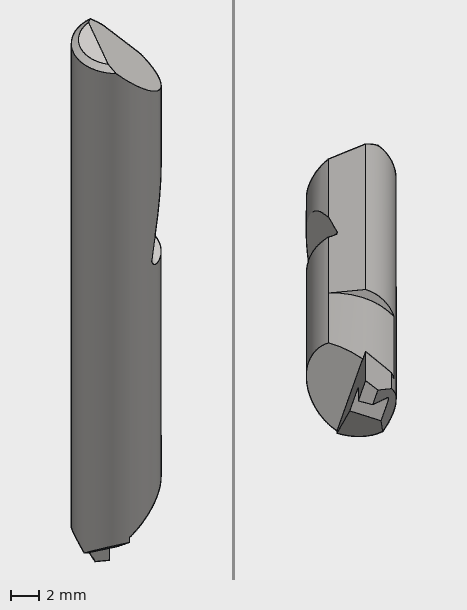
import cadquery as cq
import math

length = 50.8
diameter = 6.35
radius = diameter / 2
margin = 1.0
reach = radius + margin

chamfer_width = 0.5
chamfer_height = 0.35
top_land_y = -1.3

flat_end_y = 2.4
flat_end_x = -math.sqrt(radius**2 - flat_end_y**2)

relief_bottom = 6.1
relief_top = 19.05
relief_x = -2.55
relief_front_y = -2.55
relief_front_x = -math.sqrt(radius**2 - relief_front_y**2)

notch_bottom = 30.75
notch_top = 39.45
notch_floor_y = 1.8
notch_floor_z = 31.35
notch_corner_radius = 0.8

rake_height = 6.25
tip_inner_x = -1.6
shoulder_z = 2.95
shoulder_fillet = 0.35
side_bevel_z = 5.8
front_bevel_z = 4.85
tip_edge_y = -1.05
tip_edge_z = 0.15
clearance_end_y = -2.25
clearance_end_x = -math.sqrt(radius**2 - clearance_end_y**2)


def through_x(points):
    """Prism with a (y, z) outline passing through the whole width."""
    return cq.Workplane("YZ").polyline(points).close().extrude(reach, both=True)


def make_shank():
    shank = cq.Workplane("XY").circle(radius).extrude(length)
    top_edge = shank.faces(">Z").edges().objects[0]
    rim = shank.val().chamfer(chamfer_height, chamfer_width, [top_edge])
    return cq.Workplane(rim)


def make_top_bevel():
    drop = reach - top_land_y
    rise = margin
    return through_x([
        (top_land_y - rise, length + rise),
        (reach, length - drop),
        (reach, length + rise),
    ])


def make_chord_cut(end_x, end_y, bottom, top):
    """Body outside the chord from (-radius, 0) to the given end point."""
    along_x = end_x + radius
    return (
        cq.Workplane("XY", origin=(0, 0, bottom))
        .moveTo(-radius, 0)
        .lineTo(end_x, end_y)
        .lineTo(end_x - along_x - margin, end_y)
        .lineTo(-reach, 0)
        .close()
        .extrude(top - bottom)
    )


def relief_arc_middle(end_x, end_y):
    """Middle point of an arc leaving (relief_x, 0) along Y and reaching the end point."""
    depth = end_x - relief_x
    arc_radius = (end_y**2 + depth**2) / (2 * depth)
    half_angle = math.asin(end_y / arc_radius) / 2
    return (
        relief_x + arc_radius * (1 - math.cos(half_angle)),
        arc_radius * math.sin(half_angle),
    )


def make_side_relief():
    return (
        cq.Workplane("XY", origin=(0, 0, relief_bottom))
        .moveTo(flat_end_x, flat_end_y)
        .threePointArc(relief_arc_middle(flat_end_x, flat_end_y), (relief_x, 0))
        .threePointArc(
            relief_arc_middle(relief_front_x, relief_front_y),
            (relief_front_x, relief_front_y),
        )
        .lineTo(-reach, relief_front_y)
        .lineTo(-reach, flat_end_y)
        .close()
        .extrude(relief_top - relief_bottom)
    )


def make_notch():
    slope = (radius - notch_floor_y) / (notch_top - notch_floor_z)
    floor_y = notch_floor_y - slope * (notch_floor_z - notch_bottom)
    notch = through_x([
        (floor_y, notch_bottom),
        (reach, notch_bottom),
        (reach, notch_top + margin / slope),
    ])
    return notch.edges("|X and <Y").fillet(notch_corner_radius)


def make_rake_cut():
    """Opens the +Y half below the 45 degree back bevel."""
    return through_x([
        (0, -margin),
        (0, rake_height),
        (reach, rake_height + reach),
        (reach, -margin),
    ])


def make_front_bevel():
    """Slopes the -Y side down to the tip and lifts the bottom edge slightly."""
    slope = (front_bevel_z - tip_edge_z) / (radius + tip_edge_y)
    return through_x([
        (0, 0),
        (tip_edge_y, tip_edge_z),
        (-reach, front_bevel_z + slope * margin),
        (-reach, -margin),
        (0, -margin),
    ])


def make_tip_shoulder():
    """Frees the tip on its +X side and bevels the shank end at 45 degrees."""
    bevel_start_x = radius - (side_bevel_z - shoulder_z)
    shoulder = (
        cq.Workplane("XZ")
        .moveTo(tip_inner_x, -margin)
        .lineTo(tip_inner_x, shoulder_z)
        .lineTo(bevel_start_x, shoulder_z)
        .lineTo(reach, side_bevel_z + margin)
        .lineTo(reach, -margin)
        .close()
        .extrude(reach, both=True)
    )
    inner_corner = cq.selectors.NearestToPointSelector((tip_inner_x, 0, shoulder_z))
    return shoulder.edges("|Y").edges(inner_corner).fillet(shoulder_fillet)


result = (
    make_shank()
    .cut(make_top_bevel())
    .cut(make_chord_cut(flat_end_x, flat_end_y, relief_bottom, length))
    .cut(make_side_relief())
    .cut(make_notch())
    .cut(make_rake_cut())
    .cut(make_front_bevel())
    .cut(make_tip_shoulder())
    .cut(make_chord_cut(clearance_end_x, clearance_end_y, 0, relief_bottom))
)